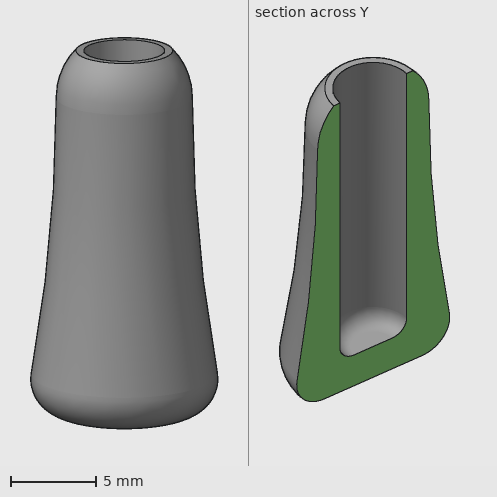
import cadquery as cq
import math

height = 22.0
base_radius = 5.5
base_round = 2.0
neck_radius = 4.0
rim_radius = 2.84
bore_radius = 2.38
bore_floor_z = 2.38
bore_floor_round = 1.01


def point_on_circle(center, radius, angle):
    return (center[0] + radius * math.cos(angle), center[1] + radius * math.sin(angle))


def make_body():
    dome_angle = math.acos(rim_radius / neck_radius)
    shoulder_z = height - neck_radius * math.sin(dome_angle)
    dome_center = (0, shoulder_z)

    round_center = (base_radius - base_round, base_round)
    rise = shoulder_z - base_round
    inset = neck_radius - round_center[0]
    flare_radius = (rise**2 + inset**2 - base_round**2) / (2 * (base_round - inset))
    flare_center = (neck_radius + flare_radius, shoulder_z)
    flare_angle = math.asin(rise / (flare_radius + base_round))

    round_end = point_on_circle(round_center, base_round, flare_angle)
    round_middle = point_on_circle(round_center, base_round, (flare_angle - math.pi / 2) / 2)
    flare_middle = point_on_circle(flare_center, flare_radius, math.pi + flare_angle / 2)
    dome_middle = point_on_circle(dome_center, neck_radius, dome_angle / 2)

    profile = (
        cq.Workplane("XZ")
        .lineTo(round_center[0], 0)
        .threePointArc(round_middle, round_end)
        .threePointArc(flare_middle, (neck_radius, shoulder_z))
        .threePointArc(dome_middle, (rim_radius, height))
        .lineTo(0, height)
        .close()
    )
    return profile.revolve(360, (0, 0, 0), (0, 1, 0))


def make_bore():
    return (
        cq.Workplane("XY")
        .workplane(offset=bore_floor_z)
        .circle(bore_radius)
        .extrude(height - bore_floor_z)
        .faces("<Z")
        .edges()
        .fillet(bore_floor_round)
    )


result = make_body().cut(make_bore())